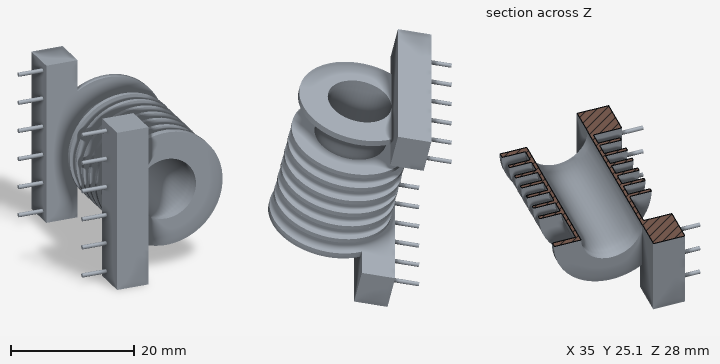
import cadquery as cq

length = 35.0
height = 28.0

tube_radius = 5.95
bore_radius = 5.3

block_width = 6.1
block_depth = 5.53
block_back_y = -5.32
block_front_y = block_back_y - block_depth
block_inner_x = length / 2 - block_width

flange_radius = 10.0
flange_thickness = 1.05
flange_outer_x = block_inner_x + flange_thickness

fin_radius = 9.75
fin_thickness = 0.75
fin_centers_x = (-4.72, -1.92, 0.88, 3.5, 6.2, 8.95)

pin_radius = 0.35
pin_length = 4.27
pin_pitch = 5.0
pin_x = 13.0
pins_per_block = 6


def disc(start_x, thickness, radius):
    """Solid cylinder along X, beginning at start_x."""
    return cq.Workplane("YZ", origin=(start_x, 0, 0)).circle(radius).extrude(thickness)


def terminal_block(side):
    """Block at the -X (side = -1) or +X (side = 1) end, with its row of pins."""
    block_center = (
        side * (length - block_width) / 2,
        (block_back_y + block_front_y) / 2,
        0,
    )
    block = cq.Workplane("XY").box(block_width, block_depth, height).translate(block_center)
    pins = (
        cq.Workplane("XZ", origin=(side * pin_x, block_front_y, 0))
        .rarray(0.35, pin_pitch, 1, pins_per_block)
        .circle(pin_radius)
        .extrude(pin_length)
    )
    return block.union(pins)


spool = disc(-flange_outer_x, 2 * flange_outer_x, tube_radius)
for flange_start_x in (-flange_outer_x, block_inner_x):
    spool = spool.union(disc(flange_start_x, flange_thickness, flange_radius))
for center_x in fin_centers_x:
    spool = spool.union(disc(center_x - fin_thickness / 2, fin_thickness, fin_radius))
bore = disc(-flange_outer_x, 2 * flange_outer_x, bore_radius)
spool = spool.cut(bore)

result = spool.union(terminal_block(-1)).union(terminal_block(1))